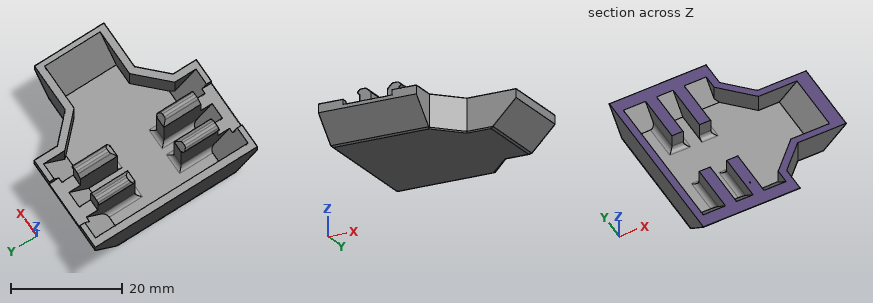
import cadquery as cq
import math

length = 35.0
half_width = 17.5
body_length = 20.0
neck_half_width = 7.5
shoulder_run = 5.0
rim_z = 6.7
overall_height = 10.0
outer_bevel_z = 4.97
bottom_chamfer = 0.25

side_wall = 1.5
end_wall = 1.05
floor_z = 1.4

notch_start = 5.0
notch_length = 10.0
notch_depth = 1.0
notch_center = notch_start + notch_length / 2

clip_gap = 3.32
clip_thickness = 2.35
clip_length = 7.98
clip_end_offset = 4.5
clip_chamfer = 1.0
hook_reach = 0.5
hook_tip_drop = 0.6
hook_tip_radius = 0.18
crown_radius = 0.7
cove_radius = 0.98

clip_inner_x = clip_gap / 2
clip_outer_x = clip_inner_x + clip_thickness
clip_outer_y = half_width - clip_end_offset
clip_inner_y = clip_outer_y - clip_length
shelf_z = rim_z - notch_depth
floor_end_y = half_width - end_wall - (rim_z - floor_z)
shelf_end_y = half_width - end_wall - notch_depth


def outline_prism(side_offset, end_offset, bottom_z):
    """Tray outline moved inward by the given offsets and extruded up to the rim."""
    end_x = length - end_offset
    end_y = half_width - end_offset
    body_x = body_length - side_offset
    neck_y = neck_half_width - side_offset
    shoulder_sum = body_length + neck_half_width + shoulder_run - side_offset * math.sqrt(2)
    upper_points = [
        (end_x, neck_y),
        (shoulder_sum - neck_y, neck_y),
        (body_x, shoulder_sum - body_x),
        (body_x, end_y),
        (side_offset, end_y),
    ]
    lower_points = [(x, -y) for x, y in reversed(upper_points)]
    plane = cq.Workplane("XY", origin=(0, 0, bottom_z))
    return plane.polyline(upper_points + lower_points).close().extrude(rim_z - bottom_z)


def bevel_ends(prism, end_offset, profile):
    """Trim both Y ends and the neck tip to a profile of (distance inward, height) points, rim to bottom."""
    bottom_z = profile[-1][1]
    end_x = length - end_offset
    end_y = half_width - end_offset
    right_side = [(end_y - inset, z) for inset, z in profile]
    left_side = [(-y, z) for y, z in reversed(right_side)]
    neck_side = [(end_x - inset, z) for inset, z in profile]
    across = cq.Workplane("YZ").polyline(right_side + left_side).close().extrude(length)
    along = (
        cq.Workplane("XZ")
        .polyline(neck_side + [(0, bottom_z), (0, rim_z)])
        .close()
        .extrude(half_width, both=True)
    )
    return prism.intersect(across).intersect(along)


def make_tray():
    outer_profile = [
        (0, rim_z),
        (0, outer_bevel_z),
        (outer_bevel_z - bottom_chamfer, bottom_chamfer),
        (outer_bevel_z + bottom_chamfer, 0),
    ]
    outer = outline_prism(0, 0, 0).faces("<Z").chamfer(bottom_chamfer)
    outer = bevel_ends(outer, 0, outer_profile)
    cavity_profile = [(0, rim_z), (rim_z - floor_z, floor_z)]
    cavity = outline_prism(side_wall, end_wall, floor_z)
    cavity = bevel_ends(cavity, end_wall, cavity_profile)
    notch = (
        cq.Workplane("XY", origin=(notch_center, 0, shelf_z))
        .rect(notch_length, 2 * half_width)
        .extrude(notch_depth)
    )
    return outer.cut(cavity).cut(notch)


def make_clip():
    """Clip at the +Y end with its hook toward +X, measured from the notch center."""
    tip_z = overall_height - hook_tip_drop
    tip_x = clip_outer_x + hook_reach
    head_profile = [
        (clip_inner_x, shelf_z),
        (clip_outer_x, shelf_z),
        (clip_outer_x, tip_z - hook_reach),
        (tip_x, tip_z),
        (tip_x - hook_tip_drop, overall_height),
        (clip_inner_x + clip_chamfer, overall_height),
        (clip_inner_x, overall_height - clip_chamfer),
    ]
    clip = (
        cq.Workplane("XZ", origin=(0, clip_outer_y, 0))
        .polyline(head_profile)
        .close()
        .extrude(clip_length)
        .faces(">Z")
        .edges("|Y")
        .fillet(crown_radius)
        .edges(">X")
        .fillet(hook_tip_radius)
    )
    end_bevel = (
        cq.Workplane("YZ")
        .moveTo(clip_inner_y, overall_height - clip_chamfer)
        .lineTo(clip_inner_y, overall_height)
        .lineTo(clip_inner_y + clip_chamfer, overall_height)
        .close()
        .extrude(tip_x)
    )
    foot = (
        cq.Workplane("YZ", origin=(clip_inner_x, 0, 0))
        .moveTo(clip_inner_y, floor_z)
        .lineTo(floor_end_y, floor_z)
        .lineTo(shelf_end_y, shelf_z)
        .lineTo(clip_inner_y, shelf_z)
        .close()
        .extrude(clip_thickness)
    )
    return clip.cut(end_bevel).union(foot)


def cove_wall(plane, low, high, low_cove, high_cove):
    """Long strip as tall as the cove radius, flaring at its foot on the sides that have a cove."""
    top_z = floor_z + cove_radius
    arc_inset = cove_radius * (1 - math.sqrt(0.5))
    strip = cq.Workplane(plane).moveTo(low, top_z)
    if low_cove:
        strip = strip.threePointArc((low - arc_inset, floor_z + arc_inset), (low - cove_radius, floor_z))
    else:
        strip = strip.lineTo(low, floor_z)
    if high_cove:
        strip = strip.lineTo(high + cove_radius, floor_z)
        strip = strip.threePointArc((high + arc_inset, floor_z + arc_inset), (high, top_z))
    else:
        strip = strip.lineTo(high, floor_z).lineTo(high, top_z)
    return strip.close().extrude(length, both=True)


def make_foot_cove(inner_cove):
    """Mitred cove where the clip meets the floor."""
    across = cove_wall("XZ", clip_inner_x, clip_outer_x, inner_cove, True)
    along = cove_wall("YZ", clip_inner_y, floor_end_y + cove_radius, True, False)
    return across.intersect(along)


result = make_tray()
for x_side in (-1, 1):
    for y_side in (-1, 1):
        has_inner_cove = not (x_side > 0 and y_side > 0)
        post = make_clip().union(make_foot_cove(has_inner_cove))
        if x_side < 0:
            post = post.mirror("YZ")
        if y_side < 0:
            post = post.mirror("XZ")
        result = result.union(post.translate((notch_center, 0, 0)))